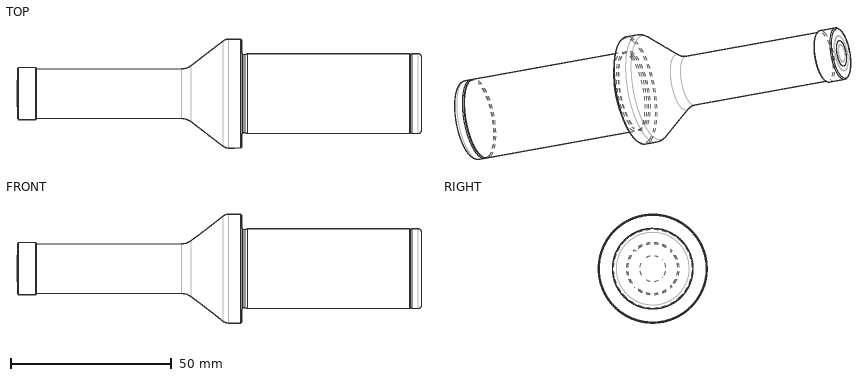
import cadquery as cq

TOTAL_LENGTH = 126.0
TIP_LENGTH = 6.2
NECK_FILLET_START = 51.4
CONE_START = 54.4
CONE_END = 64.1
RIM_START = 65.8
FLANGE_END = 70.0
UNDERCUT_END = 71.1
SHANK_START = 71.8
GROOVE_START = 122.2
GROOVE_WIDTH = 0.8

TIP_DIAMETER = 16.4
NECK_DIAMETER = 15.5
FLANGE_DIAMETER = 34.0
SHANK_DIAMETER = 25.0
UNDERCUT_DIAMETER = 24.5
BUTTON_DIAMETER = 11.2
BUTTON_STEP_DIAMETER = 8.1
BUTTON_CENTER_DIAMETER = 5.5

TIP_CHAMFER = 0.4
TIP_BACK_BEVEL = 0.4
UNDERCUT_ROOT = 0.4
BUTTON_BEVEL = 0.3
FLANGE_CHAMFER = 0.4
END_ROUND = 1.1
RIM_RADIUS = 2.6
NECK_RADIUS = 4.9
BUTTON_STEP = 0.06

TIP_X = -TOTAL_LENGTH / 2


def turn(profile):
    """Revolve an (axial station, radius) outline around the X axis."""
    return (
        cq.Workplane("XY", origin=(TIP_X, 0, 0))
        .polyline(profile)
        .close()
        .revolve(360, (0, 0, 0), (1, 0, 0))
    )


def make_holder():
    """Neck, tapered flange and grooved shank, turned as one body."""
    neck_r = NECK_DIAMETER / 2
    flange_r = FLANGE_DIAMETER / 2
    shank_r = SHANK_DIAMETER / 2
    undercut_r = UNDERCUT_DIAMETER / 2
    cone_foot = (NECK_FILLET_START + CONE_START) / 2
    cone_top = (CONE_END + RIM_START) / 2
    profile = [
        (TIP_LENGTH, 0),
        (TIP_LENGTH, neck_r),
        (cone_foot, neck_r),
        (cone_top, flange_r),
        (FLANGE_END, flange_r),
        (FLANGE_END, undercut_r + UNDERCUT_ROOT),
        (FLANGE_END + UNDERCUT_ROOT, undercut_r),
        (UNDERCUT_END, undercut_r),
        (SHANK_START, shank_r),
        (GROOVE_START, shank_r),
        (GROOVE_START + GROOVE_WIDTH / 2, undercut_r),
        (GROOVE_START + GROOVE_WIDTH, shank_r),
        (TOTAL_LENGTH, shank_r),
        (TOTAL_LENGTH, 0),
    ]
    body = turn(profile)
    largest = cq.selectors.RadiusNthSelector(-1)
    smallest = cq.selectors.RadiusNthSelector(0)
    body = body.edges(largest).edges("<X").fillet(RIM_RADIUS)
    body = body.edges(largest).edges(">X").chamfer(FLANGE_CHAMFER)
    body = body.edges(smallest).edges(">X").fillet(NECK_RADIUS)
    return body.faces(">X").edges().fillet(END_ROUND)


def make_tip():
    """Bevelled tip with a low, three-step button on its front face."""
    tip_r = TIP_DIAMETER / 2
    neck_r = NECK_DIAMETER / 2
    button_r = BUTTON_DIAMETER / 2
    step_r = BUTTON_STEP_DIAMETER / 2
    center_r = BUTTON_CENTER_DIAMETER / 2
    profile = [
        (0, 0),
        (0, center_r - BUTTON_BEVEL),
        (BUTTON_STEP, center_r),
        (BUTTON_STEP, step_r),
        (2 * BUTTON_STEP, step_r),
        (2 * BUTTON_STEP, button_r - BUTTON_BEVEL),
        (3 * BUTTON_STEP, button_r),
        (3 * BUTTON_STEP, tip_r - TIP_CHAMFER),
        (3 * BUTTON_STEP + TIP_CHAMFER, tip_r),
        (TIP_LENGTH - TIP_BACK_BEVEL, tip_r),
        (TIP_LENGTH, neck_r),
        (TIP_LENGTH, 0),
    ]
    return turn(profile)


holder = make_holder()
tip = make_tip()
result = cq.Compound.makeCompound([holder.val(), tip.val()])